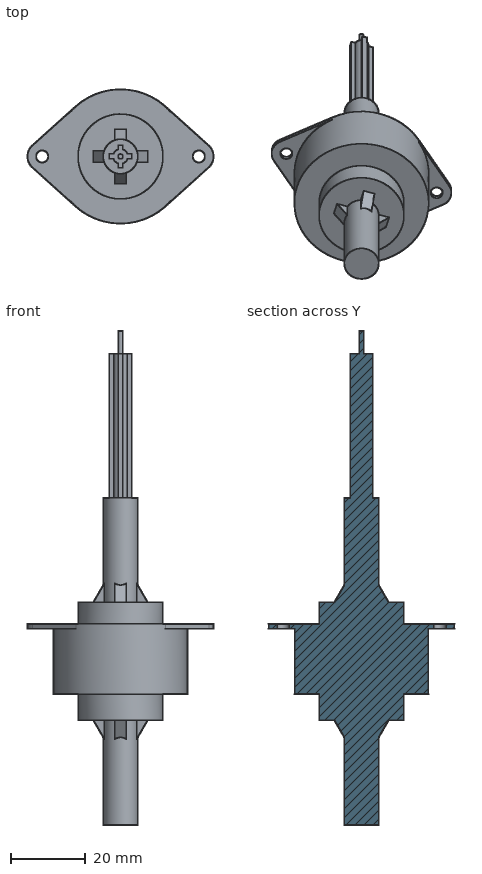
import cadquery as cq
import math

LOWER_COLLAR_BOTTOM = 28.1
BODY_BOTTOM = 35.1
FLANGE_TOP = 53.9
UPPER_COLLAR_TOP = 59.8
TUBE_TOP = 87.7
SPLINE_TOP = 126.4
PIN_TOP = 132.5

TUBE_RADIUS = 4.6
COLLAR_RADIUS = 11.4
BODY_RADIUS = 18.0
PIN_RADIUS = 0.7

FLANGE_LENGTH = 50.0
FLANGE_THICKNESS = 1.3
LUG_RADIUS = 4.0
LUG_OFFSET = FLANGE_LENGTH / 2 - LUG_RADIUS
HOLE_RADIUS = 1.6

FIN_COUNT = 4
FIN_WIDTH = 3.0
FIN_REACH = 7.3
FIN_ANGLE = 60.0

ARM_REACH = 3.0
CORE_RADIUS = 2.0
ARM_HALF_WIDTH = 0.7


def cylinder(radius, bottom, top):
    """Upright cylinder on the main axis."""
    return cq.Workplane("XY").workplane(offset=bottom).circle(radius).extrude(top - bottom)


def make_flange():
    """Two-lug plate whose slanted sides run tangent to the round body and the lug arcs."""
    tangent_angle = math.acos((BODY_RADIUS - LUG_RADIUS) / LUG_OFFSET)
    across = math.cos(tangent_angle)
    along = math.sin(tangent_angle)
    body_x = BODY_RADIUS * across
    body_y = BODY_RADIUS * along
    lug_x = LUG_OFFSET + LUG_RADIUS * across
    lug_y = LUG_RADIUS * along
    lug_tip = LUG_OFFSET + LUG_RADIUS
    return (
        cq.Workplane("XY")
        .workplane(offset=FLANGE_TOP - FLANGE_THICKNESS)
        .moveTo(body_x, body_y)
        .lineTo(-body_x, body_y)
        .lineTo(-lug_x, lug_y)
        .threePointArc((-lug_tip, 0), (-lug_x, -lug_y))
        .lineTo(-body_x, -body_y)
        .lineTo(body_x, -body_y)
        .lineTo(lug_x, -lug_y)
        .threePointArc((lug_tip, 0), (lug_x, lug_y))
        .close()
        .pushPoints([(-LUG_OFFSET, 0), (LUG_OFFSET, 0)])
        .circle(HOLE_RADIUS)
        .extrude(FLANGE_THICKNESS)
    )


def make_fins(base_height, direction):
    """Sloping fins on a collar face; direction is 1 for upward, -1 for downward."""
    inner_radius = TUBE_RADIUS / 2
    outer_radius = math.sqrt(TUBE_RADIUS**2 - (FIN_WIDTH / 2) ** 2)
    height = (FIN_REACH - outer_radius) * math.tan(math.radians(FIN_ANGLE))
    tip_height = base_height + direction * height
    fin = (
        cq.Workplane("XZ")
        .polyline(
            [
                (inner_radius, base_height),
                (FIN_REACH, base_height),
                (outer_radius, tip_height),
                (inner_radius, tip_height),
            ]
        )
        .close()
        .extrude(FIN_WIDTH / 2, both=True)
    )
    fins = fin
    for index in range(1, FIN_COUNT):
        fins = fins.union(fin.rotate((0, 0, 0), (0, 0, 1), index * 360 / FIN_COUNT))
    return fins


def make_spline():
    """Round core with four rectangular arms."""
    height = SPLINE_TOP - TUBE_TOP
    core = cylinder(CORE_RADIUS, TUBE_TOP, SPLINE_TOP)
    bar = (
        cq.Workplane("XY")
        .workplane(offset=TUBE_TOP)
        .rect(2 * ARM_REACH, 2 * ARM_HALF_WIDTH)
        .extrude(height)
    )
    return core.union(bar).union(bar.rotate((0, 0, 0), (0, 0, 1), 90))


result = (
    cylinder(BODY_RADIUS, BODY_BOTTOM, FLANGE_TOP)
    .union(make_flange())
    .union(cylinder(COLLAR_RADIUS, LOWER_COLLAR_BOTTOM, UPPER_COLLAR_TOP))
    .union(cylinder(TUBE_RADIUS, 0, TUBE_TOP))
    .union(make_fins(UPPER_COLLAR_TOP, 1))
    .union(make_fins(LOWER_COLLAR_BOTTOM, -1))
    .union(make_spline())
    .union(cylinder(PIN_RADIUS, TUBE_TOP, PIN_TOP))
)